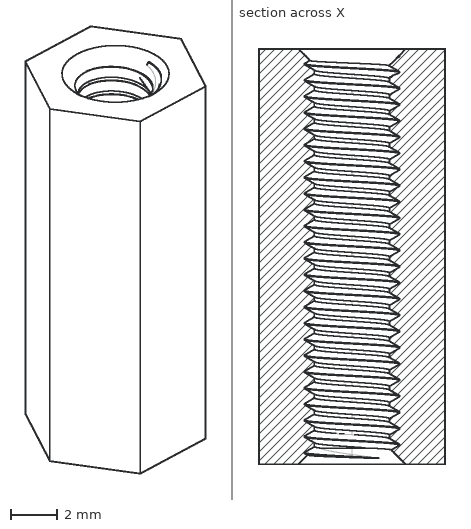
import cadquery as cq
import math

length = 18.0
across_flats = 7.0
across_corners = across_flats / math.cos(math.radians(30))

bore_radius = 1.62
countersink_radius = 2.32
countersink_depth = countersink_radius - bore_radius

pitch = 0.7
turns = 25
root_radius = 2.05
root_width = 0.04
flank_angle = 30.0
bore_overlap = 0.05
groove_end_depth = 0.3


def make_body():
    return (
        cq.Workplane("XY")
        .polygon(6, across_corners)
        .extrude(length)
        .rotate((0, 0, 0), (0, 0, 1), 90)
    )


def make_bore():
    """Solid of the bore with a conical countersink at each end."""
    outline = [
        (0, 0),
        (countersink_radius, 0),
        (bore_radius, countersink_depth),
        (bore_radius, length - countersink_depth),
        (countersink_radius, length),
        (0, length),
    ]
    bore = cq.Workplane("XZ").polyline(outline).close().revolve(360, (0, 0), (0, 1))
    return bore.rotate((0, 0, 0), (0, 0, 1), 180)


def make_thread_cutter():
    """Right-hand helical cutter whose two ends lie on the +Y side."""
    thread_height = turns * pitch
    inner_radius = bore_radius - bore_overlap
    half_root = root_width / 2
    half_mouth = half_root + (root_radius - inner_radius) * math.tan(math.radians(flank_angle))
    profile = [
        (inner_radius, -half_mouth),
        (root_radius, -half_root),
        (root_radius, half_root),
        (inner_radius, half_mouth),
    ]
    helix = cq.Wire.makeHelix(pitch, thread_height, bore_radius)
    cutter = cq.Workplane("XZ").polyline(profile).close().sweep(cq.Workplane(helix), isFrenet=True)
    start_height = length - groove_end_depth - thread_height
    return cutter.rotate((0, 0, 0), (0, 0, 1), 90).translate((0, 0, start_height))


result = make_body().cut(make_bore()).cut(make_thread_cutter())